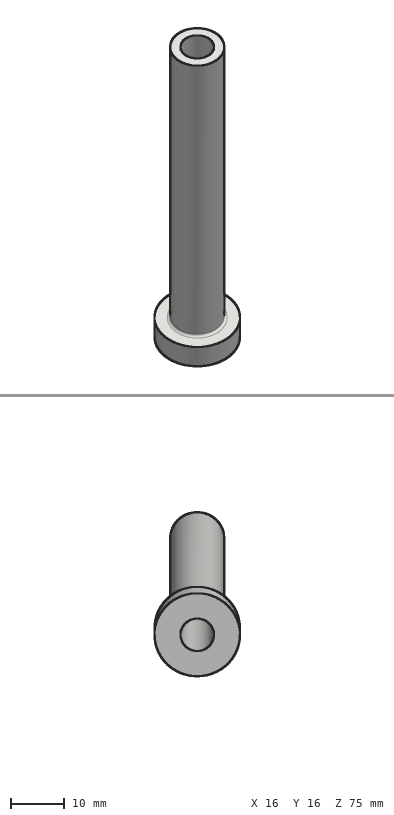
import cadquery as cq

total_length = 75.0
head_diameter = 16.0
head_height = 5.0
shank_diameter = 10.1
bore_diameter = 6.2
neck_fillet_radius = 0.5

head_radius = head_diameter / 2
shank_radius = shank_diameter / 2
bore_radius = bore_diameter / 2
fillet_top = head_height + neck_fillet_radius
fillet_foot = shank_radius + neck_fillet_radius

section = (
    cq.Workplane("XZ")
    .moveTo(bore_radius, 0)
    .lineTo(head_radius, 0)
    .lineTo(head_radius, head_height)
    .lineTo(fillet_foot, head_height)
    .radiusArc((shank_radius, fillet_top), neck_fillet_radius)
    .lineTo(shank_radius, total_length)
    .lineTo(bore_radius, total_length)
    .close()
)

result = section.revolve(360, (0, 0, 0), (0, 1, 0))